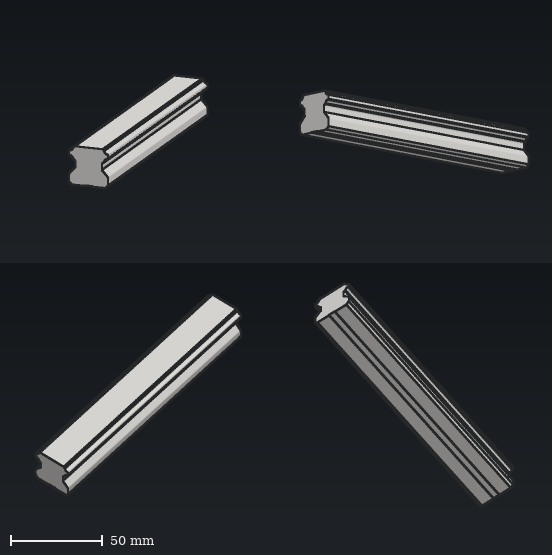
import cadquery as cq

RAIL_WIDTH = 23.0
RAIL_LENGTH = 150.0
RAIL_HEIGHT = 22.0
HALF_WIDTH = RAIL_WIDTH / 2

RELIEF_HALF_WIDTH = 2.0
RELIEF_DEPTH = 0.3
FOOT_CHAMFER = 1.6
FOOT_TOP_Z = 6.3
FOOT_EDGE_RADIUS = 1.4

WAIST_HALF_WIDTH = 7.8
WAIST_BOTTOM_Z = 10.2
WAIST_TOP_Z = 13.2
WAIST_CURVE_END = (8.8, 14.4)

LOWER_GROOVE_START = (9.2, 14.8)
LOWER_GROOVE_END = (10.6, 16.5)
UPPER_GROOVE_START = (11.0, 19.4)
TOP_BEVEL_START = (9.2, 21.2)
GROOVE_SAG = 0.38

LIP_BOTTOM_CHAMFER = 0.5
LIP_SHOULDER_Z = 18.8
TOP_HALF_WIDTH = 8.4

CAP_DIAMETER = 11.0
CAP_PITCH = 60.0
CAP_COUNT = 3
CAP_THICKNESS = 1.5


def groove_middle(start, end):
    """Middle of a groove arc that sinks toward the rail centre, going up from start to end."""
    dx = end[0] - start[0]
    dz = end[1] - start[1]
    sag_ratio = GROOVE_SAG / (dx**2 + dz**2) ** 0.5
    return (
        (start[0] + end[0]) / 2 - dz * sag_ratio,
        (start[1] + end[1]) / 2 + dx * sag_ratio,
    )


def half_rail():
    """The +X half of the rail, outlined from the foot up and extruded along Y."""
    lip_bottom_z = LOWER_GROOVE_END[1]
    lower_middle = groove_middle(LOWER_GROOVE_START, LOWER_GROOVE_END)
    upper_middle = groove_middle(UPPER_GROOVE_START, TOP_BEVEL_START)

    profile = (
        cq.Workplane("XZ")
        .moveTo(0, RELIEF_DEPTH)
        .lineTo(RELIEF_HALF_WIDTH, RELIEF_DEPTH)
        .lineTo(RELIEF_HALF_WIDTH, 0)
        .lineTo(HALF_WIDTH - FOOT_CHAMFER, 0)
        .lineTo(HALF_WIDTH, FOOT_CHAMFER)
        .lineTo(HALF_WIDTH, FOOT_TOP_Z)
        .lineTo(WAIST_HALF_WIDTH, WAIST_BOTTOM_Z)
        .lineTo(WAIST_HALF_WIDTH, WAIST_TOP_Z)
        .tangentArcPoint(WAIST_CURVE_END, relative=False)
        .lineTo(*LOWER_GROOVE_START)
        .threePointArc(lower_middle, LOWER_GROOVE_END)
        .lineTo(HALF_WIDTH - LIP_BOTTOM_CHAMFER, lip_bottom_z)
        .lineTo(HALF_WIDTH, lip_bottom_z + LIP_BOTTOM_CHAMFER)
        .lineTo(HALF_WIDTH, LIP_SHOULDER_Z)
        .tangentArcPoint(UPPER_GROOVE_START, relative=False)
        .threePointArc(upper_middle, TOP_BEVEL_START)
        .lineTo(TOP_HALF_WIDTH, RAIL_HEIGHT)
        .lineTo(0, RAIL_HEIGHT)
        .close()
    )
    rail = profile.extrude(RAIL_LENGTH / 2, both=True)
    foot_edge = cq.selectors.NearestToPointSelector((HALF_WIDTH, 0, FOOT_TOP_Z))
    return rail.edges("|Y").edges(foot_edge).fillet(FOOT_EDGE_RADIUS)


def cap_discs():
    """Discs for the caps, flush with the top of the rail."""
    return (
        cq.Workplane("XY", origin=(0, 0, RAIL_HEIGHT - CAP_THICKNESS))
        .rarray(1.5, CAP_PITCH, 1, CAP_COUNT)
        .circle(CAP_DIAMETER / 2)
        .extrude(CAP_THICKNESS)
    )


right_half = half_rail()
rail = right_half.union(right_half.mirror("YZ")).clean()
caps = cap_discs()

result = rail.cut(caps).union(caps, clean=False)